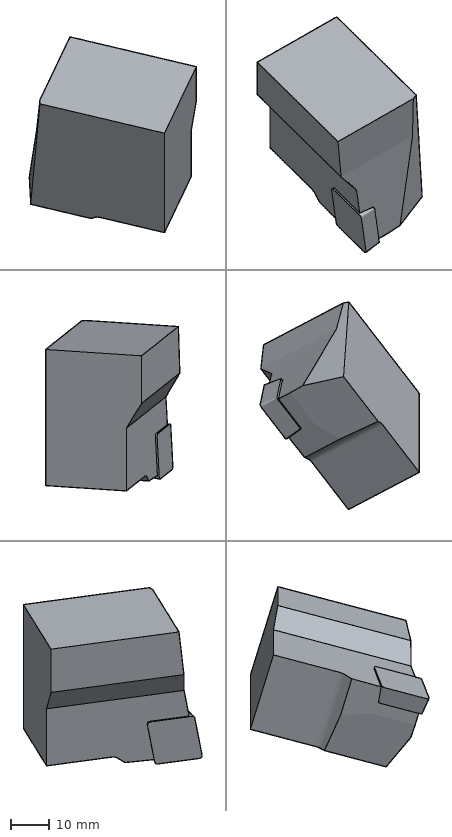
import cadquery as cq
import math

length_x = 42.0
depth_y = 26.0
top_z = 40.0

nose_top_x = 7.3
nose_bend_x = 5.95
nose_bend_z = 27.25
lower_lean = 10.0

lip_z = 1.18
lip_flat_end_x = 13.0
lip_end_x = 20.8
lip_end_z = 1.43
floor_z = 3.55
floor_start_x = 24.35
blend_radius = 5.5 / 2

front_edge_z = 2.4
underside_slope = 5.0
relief_y = 21.9
relief_z = 20.35

facet_bottom_x = 5.25
facet_top_x = 7.8
facet_run = 0.37

insert_height = 12.7
insert_thickness = 4.8
insert_back_y = 22.4
insert_corner_angle = 80.0
insert_corner_radius = 0.8
insert_relief = 7.0


def make_nose_outline():
    """Solid with the XZ outline, running through the whole depth."""
    lip_start_x = nose_bend_x - (nose_bend_z - lip_z) * math.tan(math.radians(lower_lean))
    blend_offset = blend_radius * math.sqrt(0.5)
    blend_center_z = floor_z - blend_radius
    return (
        cq.Workplane("XZ")
        .moveTo(nose_top_x, top_z)
        .lineTo(nose_bend_x, nose_bend_z)
        .lineTo(lip_start_x, lip_z)
        .lineTo(lip_flat_end_x, lip_z)
        .lineTo(lip_end_x, lip_end_z)
        .lineTo(floor_start_x - blend_offset, blend_center_z + blend_offset)
        .radiusArc((floor_start_x, floor_z), blend_radius)
        .lineTo(length_x, floor_z)
        .lineTo(length_x, top_z)
        .close()
        .extrude(-depth_y)
    )


def make_side_outline():
    """Solid with the YZ outline: sloped underside and rear relief."""
    slope_end_y = (front_edge_z - lip_z) / math.tan(math.radians(underside_slope))
    return (
        cq.Workplane("YZ")
        .polyline([
            (0, top_z),
            (0, front_edge_z),
            (slope_end_y, lip_z),
            (relief_y, lip_z),
            (relief_y, relief_z),
            (depth_y, nose_bend_z),
            (depth_y, top_z),
        ])
        .close()
        .extrude(length_x)
    )


def make_corner_facet_cutter():
    """Block whose inner face is the slanted facet plane."""
    facet_rise = (facet_top_x - facet_bottom_x) / (top_z - front_edge_z)
    facet_plane = cq.Plane(
        origin=(facet_bottom_x, 0, front_edge_z),
        xDir=(facet_rise, 0, 1),
        normal=(-1, -facet_run, facet_rise),
    )
    block_size = 3 * length_x
    return cq.Workplane(facet_plane).rect(block_size, block_size).extrude(length_x)


def make_insert():
    """Rhombic cutting insert, tapering from its rear face toward -Y."""
    corner = math.radians(insert_corner_angle)
    side = insert_height / math.sin(corner)
    lean_x = insert_height / math.tan(corner)
    start_x = insert_corner_radius * (1 - 1 / math.tan(corner / 2))
    rhombus = (
        cq.Workplane("XZ", origin=(0, insert_back_y, 0))
        .polyline([
            (start_x, 0),
            (start_x + side, 0),
            (start_x + side + lean_x, insert_height),
            (start_x + lean_x, insert_height),
        ])
        .close()
    )
    return (
        rhombus
        .offset2D(-insert_corner_radius)
        .offset2D(insert_corner_radius, "arc")
        .extrude(insert_thickness, taper=insert_relief)
    )


insert = make_insert()
holder = (
    make_nose_outline()
    .intersect(make_side_outline())
    .cut(make_corner_facet_cutter())
    .cut(insert)
)

result = cq.Compound.makeCompound([holder.solids().val(), insert.val()])